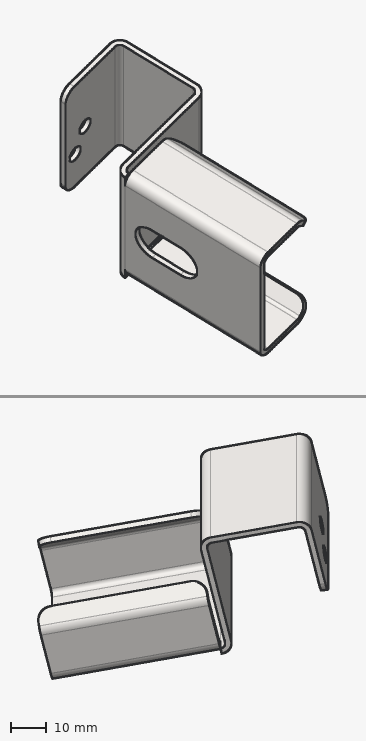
import cadquery as cq
import math

length = 81.4
depth = 39.0
height = 44.0

sheet = 1.8
bend_radius = 3.5
inner_radius = bend_radius - sheet
corner_radius = 4.0

hook_width = 31.6
leg_front = 13.1

channel_start = hook_width - sheet + bend_radius
channel_length = length - channel_start
flange_bend_start = 16.7
lip_end = 22.7
lip_angle = 45.0

slot_length = 22.0
slot_height = 12.0
slot_center_x = 47.95
hole_diameter = 5.0
hole_centers = [(22.0, height / 2), (17.5, 14.1)]


def make_hook():
    """Left leg, back wall and right wall, ending in the bend that meets the channel."""
    inner_left = sheet
    inner_right = hook_width - sheet
    hook = (
        cq.Workplane("XY")
        .moveTo(0, leg_front)
        .lineTo(0, depth - bend_radius)
        .radiusArc((bend_radius, depth), bend_radius)
        .lineTo(hook_width - bend_radius, depth)
        .radiusArc((hook_width, depth - bend_radius), bend_radius)
        .lineTo(hook_width, bend_radius)
        .radiusArc((channel_start, sheet), -inner_radius)
        .lineTo(channel_start, 0)
        .radiusArc((inner_right, bend_radius), bend_radius)
        .lineTo(inner_right, depth - bend_radius)
        .radiusArc((hook_width - bend_radius, depth - sheet), -inner_radius)
        .lineTo(bend_radius, depth - sheet)
        .radiusArc((inner_left, depth - bend_radius), -inner_radius)
        .lineTo(inner_left, leg_front)
        .close()
        .extrude(height)
    )
    leg_corners = cq.selectors.BoxSelector(
        (-sheet, leg_front - sheet, -sheet),
        (2 * sheet, leg_front + sheet, height + sheet),
    )
    return hook.edges("|X").edges(leg_corners).fillet(corner_radius)


def make_channel():
    """Front plate with a flange along its top and bottom, each ending in an inward lip."""
    angle = math.radians(lip_angle)
    along = (math.cos(angle), -math.sin(angle))
    outward = (math.sin(angle), math.cos(angle))
    bend_center_z = height - bend_radius

    def on_lip_bend(radius, turn):
        return (
            flange_bend_start + radius * math.sin(turn),
            bend_center_z + radius * math.cos(turn),
        )

    lip_start = on_lip_bend(bend_radius, angle)
    lip_length = (lip_end - lip_start[0]) / along[0]
    lip_tip = (lip_end, lip_start[1] + lip_length * along[1])
    lip_tip_inside = (lip_tip[0] - sheet * outward[0], lip_tip[1] - sheet * outward[1])

    upper_half = (
        cq.Workplane("YZ", origin=(channel_start, 0, 0))
        .moveTo(0, height / 2)
        .lineTo(0, bend_center_z)
        .radiusArc((bend_radius, height), bend_radius)
        .lineTo(flange_bend_start, height)
        .threePointArc(on_lip_bend(bend_radius, angle / 2), lip_start)
        .lineTo(*lip_tip)
        .lineTo(*lip_tip_inside)
        .lineTo(*on_lip_bend(inner_radius, angle))
        .threePointArc(on_lip_bend(inner_radius, angle / 2), on_lip_bend(inner_radius, 0))
        .lineTo(bend_radius, height - sheet)
        .radiusArc((sheet, bend_center_z), -inner_radius)
        .lineTo(sheet, height / 2)
        .close()
        .extrude(channel_length)
    )
    lip_corners = cq.selectors.ParallelDirSelector(cq.Vector(0, *outward))
    upper_half = upper_half.edges(lip_corners).fillet(corner_radius)
    lower_half = upper_half.mirror("XY", (0, 0, height / 2))
    return upper_half.union(lower_half)


def make_slot():
    return (
        cq.Workplane("XZ", origin=(slot_center_x, sheet, height / 2))
        .slot2D(slot_length, slot_height)
        .extrude(sheet)
    )


def make_leg_holes():
    return (
        cq.Workplane("YZ")
        .pushPoints(hole_centers)
        .circle(hole_diameter / 2)
        .extrude(sheet)
    )


result = make_hook().union(make_channel()).cut(make_slot()).cut(make_leg_holes())